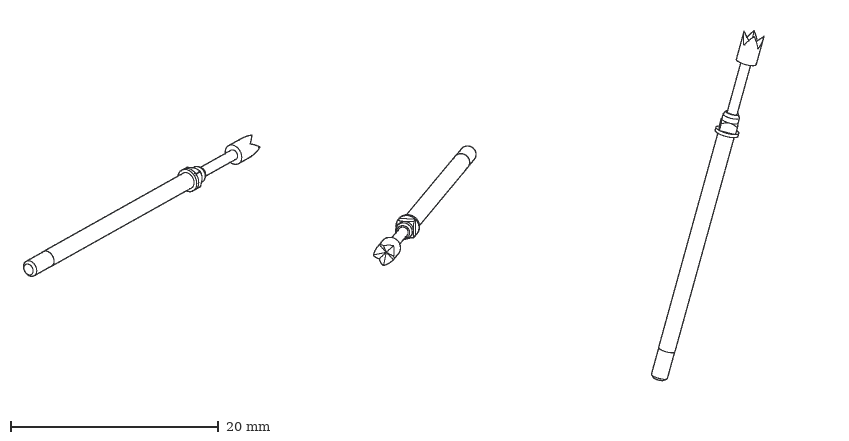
import cadquery as cq
import math

LENGTH = 35.8

BARREL_DIA = 1.65
TAIL_DIA = 1.6
TAIL_LENGTH = 3.0
TAIL_CHAMFER = 0.25

FLANGE_DIA = 2.3
FLANGE_TOP = LENGTH - 10.02
FLANGE_THICKNESS = 0.32

BLOCK_WIDTH = 1.65
BLOCK_CORNER_DIA = 2.3
BLOCK_LENGTH = 0.95
BLOCK_BEVEL_LENGTH = 0.25

COLLAR_LENGTH = 0.5
NOSE_DIA = 1.3
NOSE_LENGTH = 0.32

ROD_DIA = 1.0
CROWN_DIA = 2.0
CROWN_LENGTH = 2.95
CROWN_TOOTH_HEIGHT = 1.18
GROOVE_OVERSHOOT = 2.0
GROOVE_ANGLES = (45, 135)

block_top = FLANGE_TOP + BLOCK_LENGTH
collar_top = block_top + COLLAR_LENGTH
nose_top = collar_top + NOSE_LENGTH
crown_base = LENGTH - CROWN_LENGTH


def rod(diameter, start, end):
    """Round bar on the Y axis between two Y positions."""
    profile = cq.Workplane("XZ", origin=(0, start, 0)).circle(diameter / 2)
    return profile.extrude(start - end)


def cone(start_dia, end_dia, start, end):
    """Round taper on the Y axis between two Y positions."""
    half_section = [(0, start), (start_dia / 2, start), (end_dia / 2, end), (0, end)]
    outline = cq.Workplane("XY").polyline(half_section).close()
    return outline.revolve(360, (0, 0), (0, 1))


def make_barrel():
    tail = rod(TAIL_DIA, 0, TAIL_LENGTH).faces("<Y").chamfer(TAIL_CHAMFER)
    tube = rod(BARREL_DIA, TAIL_LENGTH, collar_top)
    flange = rod(FLANGE_DIA, FLANGE_TOP - FLANGE_THICKNESS, FLANGE_TOP)
    nose = cone(BARREL_DIA, NOSE_DIA, collar_top, nose_top)
    return tail.union(tube).union(flange).union(nose)


def make_wrench_block():
    """Square block whose corners are rounded and taper in to the collar on top."""
    bevel_start = block_top - BLOCK_BEVEL_LENGTH
    blank = rod(BLOCK_CORNER_DIA, FLANGE_TOP, bevel_start)
    blank = blank.union(cone(BLOCK_CORNER_DIA, BLOCK_WIDTH, bevel_start, block_top))
    square = cq.Workplane("XZ", origin=(0, FLANGE_TOP, 0)).rect(BLOCK_WIDTH, BLOCK_WIDTH)
    return blank.intersect(square.extrude(-BLOCK_LENGTH))


def make_crown():
    """Head with four teeth left between two crossing V grooves."""
    head = rod(CROWN_DIA, crown_base, LENGTH)
    half_width_at_tips = CROWN_DIA / 2 * math.sin(math.radians(45))
    half_width = half_width_at_tips * GROOVE_OVERSHOOT
    valley = LENGTH - CROWN_TOOTH_HEIGHT
    groove_top = valley + CROWN_TOOTH_HEIGHT * GROOVE_OVERSHOOT
    section = [(0, valley), (half_width, groove_top), (-half_width, groove_top)]
    groove = cq.Workplane("XY").polyline(section).close().extrude(CROWN_DIA, both=True)
    for angle in GROOVE_ANGLES:
        head = head.cut(groove.rotate((0, 0, 0), (0, 1, 0), angle))
    return head


plunger = rod(ROD_DIA, nose_top, crown_base)
result = make_barrel().union(make_wrench_block()).union(plunger).union(make_crown())